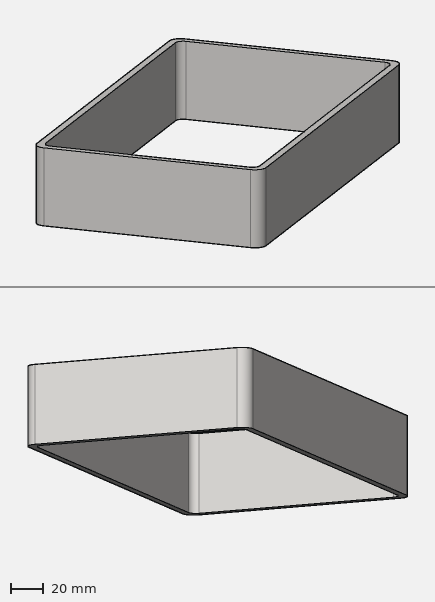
import cadquery as cq

width = 150.0
length = 250.0
height = 50.0

wall = 5.0
outer_radius = 7.5
inner_radius = 5.0


def rounded_block(size_x, size_y, corner_radius):
    """Upright block, full frame height, with rounded vertical corners."""
    block = cq.Workplane("XY").box(size_x, size_y, height)
    return block.edges("|Z").fillet(corner_radius)


outer_block = rounded_block(width, length, outer_radius)
opening = rounded_block(width - 2 * wall, length - 2 * wall, inner_radius)

result = outer_block.cut(opening)